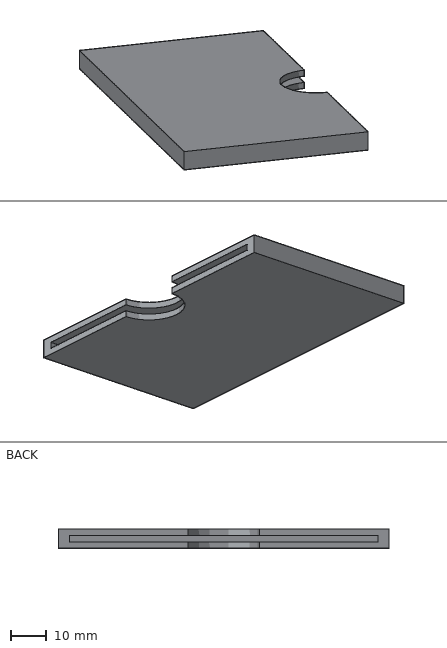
import cadquery as cq

slot_length = 85.725
slot_depth = 50.8
layer_thickness = 1.8
wall = 3.175
thumb_radius = 10.0

length = slot_length + 2 * wall
width = slot_depth + wall
thickness = 3 * layer_thickness
back_y = width / 2


def make_body():
    return cq.Workplane("XY").box(length, width, thickness)


def make_card_slot():
    """Slot that leaves a wall on the left, right and front sides."""
    return (
        cq.Workplane("XY")
        .box(slot_length, slot_depth, layer_thickness)
        .translate((0, back_y - slot_depth / 2, 0))
    )


def make_thumb_notch():
    """Half-round cut through the full thickness, centred on the back edge."""
    return (
        cq.Workplane("XY")
        .center(0, back_y)
        .circle(thumb_radius)
        .extrude(thickness, both=True)
    )


result = make_body().cut(make_card_slot()).cut(make_thumb_notch())